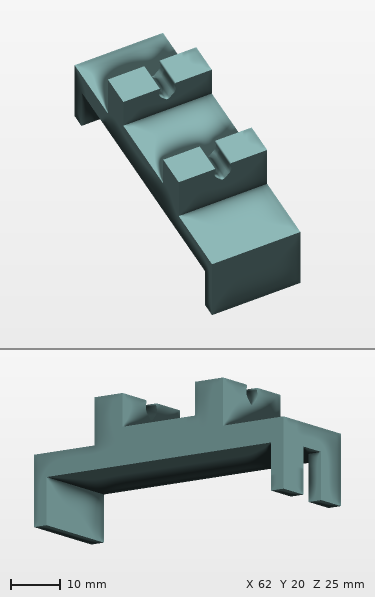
import cadquery as cq
import math

length = 62.0
depth = 20.0
height = 25.0
leg_thickness = 3.1
leg_height = 10.0
deck_top = 15.0

middle_length = 32.0
middle_top = 18.0
post_length = 7.0

slot_width = 6.2

channel_radius = 1.9
channel_center_depth = 1.4
lip_radius = 0.3
tip_radius = 0.6


def box(x_size, y_size, z_bottom, z_top, x_center=0):
    """Box centred on Y = 0, between two heights."""
    return (
        cq.Workplane("XY", origin=(x_center, 0, z_bottom))
        .rect(x_size, y_size)
        .extrude(z_top - z_bottom)
    )


def rod_along_x(radius, z_center):
    """Cylinder along the middle of the raised section."""
    return (
        cq.Workplane("YZ", origin=(-middle_length / 2, 0, z_center))
        .circle(radius)
        .extrude(middle_length)
    )


def make_body():
    body = box(length, depth, leg_height, deck_top)
    body = body.union(box(middle_length, depth, deck_top, middle_top))
    for side in (-1, 1):
        leg_x = side * (length - leg_thickness) / 2
        post_x = side * (middle_length - post_length) / 2
        body = body.union(box(leg_thickness, depth, 0, leg_height, leg_x))
        body = body.union(box(post_length, depth, middle_top, height, post_x))
    return body


def make_channel():
    """Teardrop channel with rounded lips at its mouth and a rounded tip at the bottom."""
    channel_z = height - channel_center_depth
    lip_z = height - lip_radius
    lip_rise = lip_z - channel_z
    center_distance = channel_radius + lip_radius
    lip_y = math.sqrt(center_distance**2 - lip_rise**2)
    tangent_ratio = channel_radius / center_distance
    tangent_y = lip_y * tangent_ratio
    tangent_z = channel_z + lip_rise * tangent_ratio

    mouth = (
        cq.Workplane("YZ", origin=(-middle_length / 2, 0, 0))
        .moveTo(0, channel_z)
        .lineTo(tangent_y, tangent_z)
        .lineTo(lip_y, height)
        .lineTo(-lip_y, height)
        .lineTo(-tangent_y, tangent_z)
        .close()
        .extrude(middle_length)
    )
    for side in (-1, 1):
        lip = rod_along_x(lip_radius, lip_z).translate((0, side * lip_y, 0))
        mouth = mouth.cut(lip)

    channel = rod_along_x(channel_radius, channel_z)

    apex_z = channel_z - channel_radius * math.sqrt(2)
    tip_z = apex_z + tip_radius * math.sqrt(2)
    side_offset = channel_radius / math.sqrt(2)
    tip_offset = tip_radius / math.sqrt(2)
    valley = (
        cq.Workplane("YZ", origin=(-middle_length / 2, 0, 0))
        .moveTo(-side_offset, channel_z - side_offset)
        .lineTo(-tip_offset, tip_z - tip_offset)
        .threePointArc((0, tip_z - tip_radius), (tip_offset, tip_z - tip_offset))
        .lineTo(side_offset, channel_z - side_offset)
        .close()
        .extrude(middle_length)
    )
    return channel.union(mouth).union(valley)


def make_leg_slot():
    return box(leg_thickness, slot_width, 0, leg_height, -(length - leg_thickness) / 2)


result = make_body().cut(make_channel()).cut(make_leg_slot())